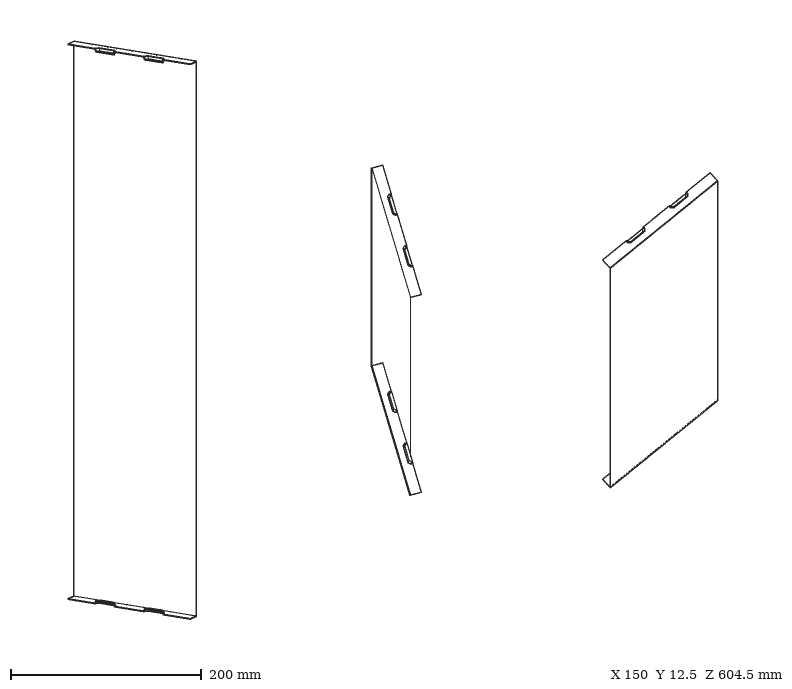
import cadquery as cq

width = 150.0
depth = 12.5
height = 604.5
sheet = 1.0

joggle_spacing = 60.0
joggle_drop = 3.0
rim_width = 23.5
rim_reach = 4.0
corner_bevel = 2.5
wall_run = 1.0

half_height = height / 2
front = -depth / 2
back = depth / 2


def box_between(y_start, y_end, z_start, z_end):
    """Full-width block spanning the given Y and Z ranges."""
    return cq.Workplane("XY").box(width, y_end - y_start, z_end - z_start).translate(
        (0, (y_start + y_end) / 2, (z_start + z_end) / 2)
    )


def joggle_outline(half_width, reach):
    """Corner points of a plan outline with bevelled back corners."""
    return [
        (-half_width, 0),
        (half_width, 0),
        (half_width, reach - corner_bevel),
        (half_width - corner_bevel, reach),
        (corner_bevel - half_width, reach),
        (-half_width, reach - corner_bevel),
    ]


def joggle_form(center_x, top_z, margin):
    """Tapered form, open at the front edge; margin widens it on the sides and back."""
    rim_half = rim_width / 2 + margin
    reach = rim_reach + margin
    return (
        cq.Workplane("XY", origin=(center_x, front, top_z))
        .polyline(joggle_outline(rim_half, reach))
        .close()
        .workplane(offset=-joggle_drop)
        .polyline(joggle_outline(rim_half - wall_run, reach - wall_run))
        .close()
        .loft(ruled=True)
    )


def upper_half():
    """Half of the panel with the top flange and its two joggles."""
    panel = box_between(back - sheet, back, 0, half_height)
    flange = box_between(front, back, half_height - sheet, half_height)
    half = panel.union(flange)
    for center_x in (-joggle_spacing / 2, joggle_spacing / 2):
        half = half.union(joggle_form(center_x, half_height - sheet, sheet / 2))
        half = half.cut(joggle_form(center_x, half_height, 0))
    return half


top_half = upper_half()
result = top_half.union(top_half.mirror("XY")).clean()